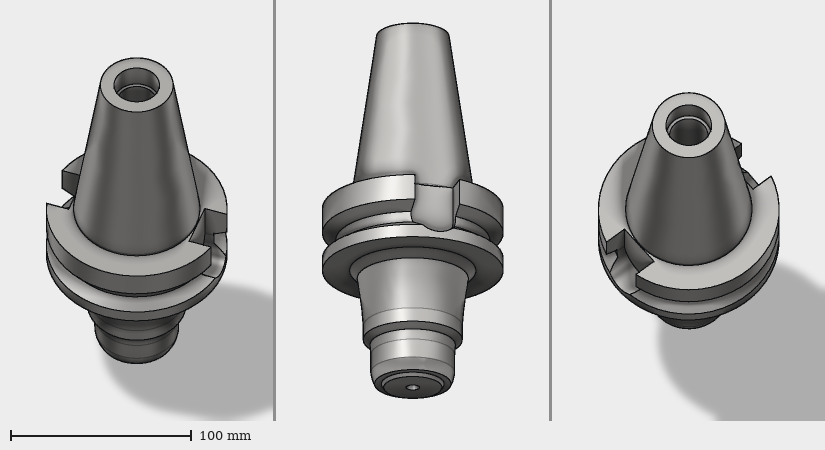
import cadquery as cq

total_length = 209.2

taper_ratio = 7 / 24
taper_root_radius = 35.0
taper_root_z = 107.7
taper_tip_radius = taper_root_radius - (total_length - taper_root_z) * taper_ratio / 2

flange_radius = 50.0
flange_top_z = 106.7
flange_bottom_z = 69.7
groove_radius = 42.7
groove_upper_edge_z = 92.0
groove_floor_top_z = 87.7
groove_floor_bottom_z = 81.4
groove_lower_edge_z = 77.0

neck_cone_bottom_z = 64.9
neck_top_radius = 30.8
neck_bottom_radius = 27.5
neck_curve_bottom_z = 36.5
neck_bottom_z = 28.5
neck_hollow = 0.5

nose_top_radius = 23.6
nose_top_z = 25.3
nose_radius = 23.2
nose_cylinder_top_z = 19.5
nose_cylinder_bottom_z = 8.8
nose_edge_radius = 21.1
nose_edge_mid_radius = 22.5
nose_edge_z = 2.0
lip_top_radius = 17.4
lip_bottom_radius = 16.1

bore_radius = 12.5
bore_depth = 13.2
inner_bore_radius = 10.7
inner_bore_depth = 52.3
coolant_radius = 3.66

slot_width = 25.7
slot_floor_x = 35.4
slot_bottom_z = 73.6


def make_body():
    """Revolve the outer half profile about Z."""
    neck_mid_radius = (neck_top_radius + neck_bottom_radius) / 2 - neck_hollow
    neck_mid_z = (neck_cone_bottom_z + neck_curve_bottom_z) / 2
    nose_mid_z = (nose_cylinder_bottom_z + nose_edge_z) / 2
    return (
        cq.Workplane("XZ")
        .moveTo(0, 0)
        .lineTo(lip_bottom_radius, 0)
        .lineTo(lip_top_radius, nose_edge_z)
        .lineTo(nose_edge_radius, nose_edge_z)
        .threePointArc((nose_edge_mid_radius, nose_mid_z), (nose_radius, nose_cylinder_bottom_z))
        .lineTo(nose_radius, nose_cylinder_top_z)
        .lineTo(nose_top_radius, nose_top_z)
        .lineTo(neck_bottom_radius, neck_bottom_z)
        .lineTo(neck_bottom_radius, neck_curve_bottom_z)
        .threePointArc((neck_mid_radius, neck_mid_z), (neck_top_radius, neck_cone_bottom_z))
        .lineTo(taper_root_radius, flange_bottom_z)
        .lineTo(flange_radius, flange_bottom_z)
        .lineTo(flange_radius, groove_lower_edge_z)
        .lineTo(groove_radius, groove_floor_bottom_z)
        .lineTo(groove_radius, groove_floor_top_z)
        .lineTo(flange_radius, groove_upper_edge_z)
        .lineTo(flange_radius, flange_top_z)
        .lineTo(taper_root_radius, flange_top_z)
        .lineTo(taper_root_radius, taper_root_z)
        .lineTo(taper_tip_radius, total_length)
        .lineTo(0, total_length)
        .close()
        .revolve(360, (0, 0, 0), (0, 1, 0))
    )


def make_slot(side):
    """Round-bottomed slot cutter, open at the flange top; side is +1 or -1 along X."""
    half_width = slot_width / 2
    arc_centre_z = slot_bottom_z + half_width
    return (
        cq.Workplane("YZ", origin=(side * slot_floor_x, 0, 0))
        .moveTo(-half_width, flange_top_z)
        .lineTo(-half_width, arc_centre_z)
        .threePointArc((0, slot_bottom_z), (half_width, arc_centre_z))
        .lineTo(half_width, flange_top_z)
        .close()
        .extrude(side * flange_radius)
    )


def cut_bores(body):
    """Cut the stepped bore from the taper tip and the coolant hole right through."""
    holes = (
        (bore_radius, bore_depth),
        (inner_bore_radius, inner_bore_depth),
        (coolant_radius, total_length),
    )
    for radius, depth in holes:
        cutter = cq.Workplane("XY", origin=(0, 0, total_length)).circle(radius).extrude(-depth)
        body = body.cut(cutter)
    return body


result = cut_bores(make_body())
for slot_side in (-1, 1):
    result = result.cut(make_slot(slot_side))